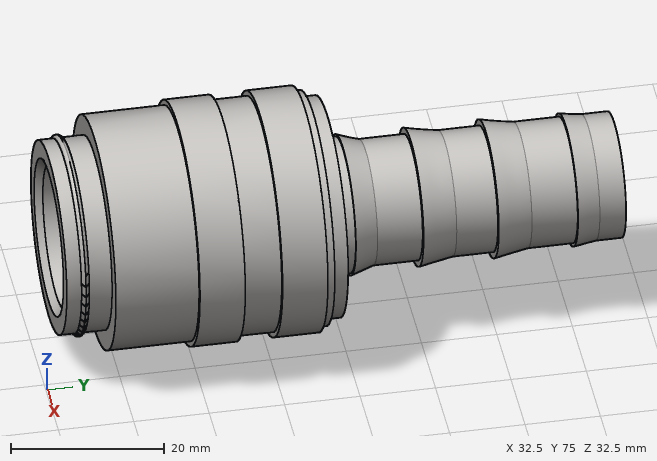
import cadquery as cq

LENGTH = 75.0

NOSE_RADIUS = 12.8
SLEEVE_RADIUS = 15.5
BAND_RADIUS = 16.24
FLANGE_RADIUS = 14.6
NECK_RADIUS = 9.0

SLEEVE_START = 6.0
FRONT_BAND_START = 17.0
REAR_BAND_START = 28.0
BAND_WIDTH = 6.0
SLEEVE_END = 35.0
FLANGE_END = 37.0
NECK_END = 39.0

RING_STATION = 2.5
RING_WIRE_RADIUS = 0.5
RING_OUTER_RADIUS = 13.3

HOSE_RADIUS = 8.3
BARBS = [
    (NECK_END, 3.0, 9.3),
    (48.0, 4.5, 9.15),
    (58.0, 4.5, 9.15),
    (68.55, 2.9, 8.8),
]

HOSE_BORE_RADIUS = 6.5
SOCKET_RADIUS = 9.45
SOCKET_DEPTH = 30.0
MOUTH_CHAMFER = 1.0


def disc(radius, start, end):
    """Cylinder about the Y axis between two stations."""
    return cq.Workplane("XZ", origin=(0, start, 0)).circle(radius).extrude(start - end)


def cone(start_radius, end_radius, start, length):
    """Cone frustum about the Y axis, running toward +Y from its start station."""
    return cq.Workplane(
        cq.Solid.makeCone(start_radius, end_radius, length, cq.Vector(0, start, 0), cq.Vector(0, 1, 0))
    )


def make_body():
    body = disc(NOSE_RADIUS, 0, SLEEVE_START)
    body = body.union(disc(SLEEVE_RADIUS, SLEEVE_START, SLEEVE_END))
    for band_start in (FRONT_BAND_START, REAR_BAND_START):
        body = body.union(disc(BAND_RADIUS, band_start, band_start + BAND_WIDTH))
    body = body.union(disc(FLANGE_RADIUS, SLEEVE_END, FLANGE_END))
    return body.union(disc(NECK_RADIUS, FLANGE_END, NECK_END))


def make_snap_ring():
    wire_center_radius = RING_OUTER_RADIUS - RING_WIRE_RADIUS
    return cq.Workplane(
        cq.Solid.makeTorus(
            wire_center_radius, RING_WIRE_RADIUS, cq.Vector(0, RING_STATION, 0), cq.Vector(0, 1, 0)
        )
    )


def make_hose_tail():
    tail = disc(HOSE_RADIUS, NECK_END, LENGTH)
    for start, length, edge_radius in BARBS:
        tail = tail.union(cone(edge_radius, HOSE_RADIUS, start, length))
    return tail


def make_passage():
    passage = disc(HOSE_BORE_RADIUS, 0, LENGTH)
    passage = passage.union(disc(SOCKET_RADIUS, 0, SOCKET_DEPTH))
    return passage.union(cone(SOCKET_RADIUS + MOUTH_CHAMFER, SOCKET_RADIUS, 0, MOUTH_CHAMFER))


result = make_body().union(make_snap_ring()).union(make_hose_tail()).cut(make_passage())